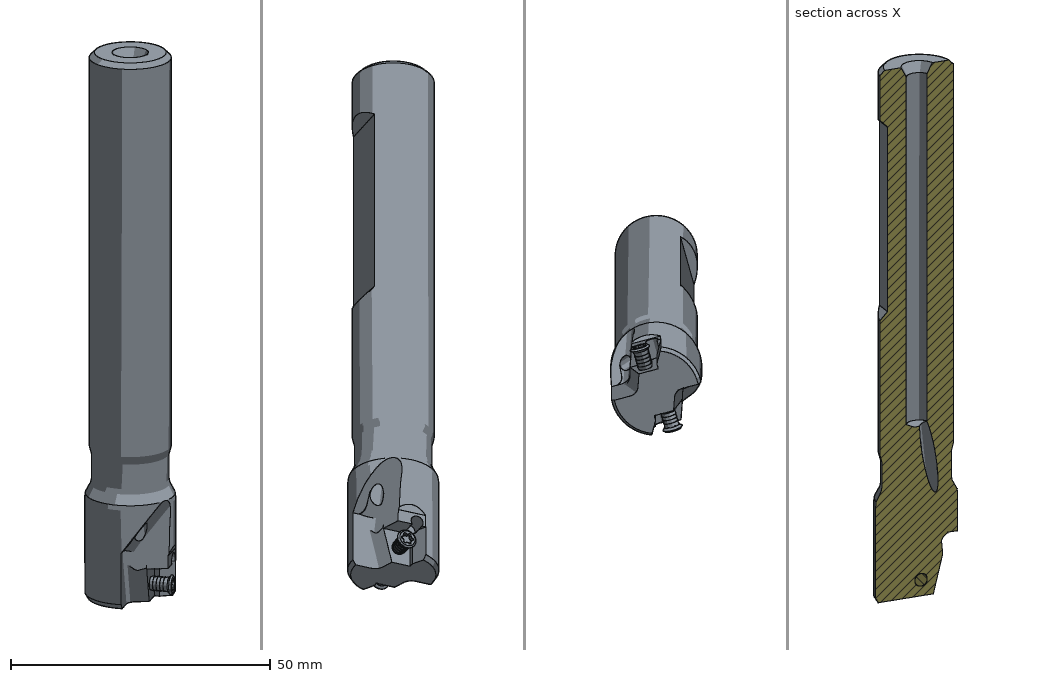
import cadquery as cq
import math

total_length = 109.92
shank_radius = 15.875 / 2
neck_radius = 7.5
head_radius = 17.65 / 2
shank_end_chamfer = 1.0
shank_bottom = 30.0
neck_top = 28.9
neck_bottom = 23.9
head_cone_top_radius = 7.7
head_cone_top = 22.9
head_cone_bottom = 21.0
head_top = 20.0
head_cone_bottom_radius = 8.7
shank_edge_chamfer = 0.55
shank_edge_radius = 7.8
head_tip_bevel_height = 1.0
head_tip_bevel_width = 0.6

flat_bottom = 58.2
flat_top = 99.8
flat_offset = 6.2
flat_end_run = shank_radius - flat_offset

bore_radius = 2.5
bore_mouth_radius = 3.5
bore_mouth_depth = 2.1
bore_bottom = 36.0
bore_tip_depth = 1.6
coolant_radius = 1.3
coolant_start = cq.Vector(0, -1.3, 36.5)
coolant_exit = cq.Vector(3.7, -5.2, 14.0)
coolant_overrun = 4.0

floor_datum_z = 7.2
rake_floor = (5.6, 0.35, 0.25)
upper_floor = (5.18, 0.245, -0.098)
outer_floor = (5.6, 0.35, -0.04)
flute_wall_x = 0.6
flute_corner_z = 11.4
flute_angle = 54.0
rake_fillet = 2.0
upper_fillet = 3.2
outer_floor_x = 4.35
outer_floor_z = 7.9
outer_floor_angle = 61.0
upper_flute_bottom = 5.0
cut_reach = 14.0
cut_below = -1.0

seat_x = 4.4
seat_top = 7.1
seat_wall_y = 1.6
seat_wall_bend_x = 5.4
seat_wall_outer_y = 3.2
seat_wall_outer_x = 8.2
relief_radius = 1.25
relief_y = 1.35
relief_z = 7.8
land_x = 8.25
land_top = 9.6
land_runout_z = 11.0

screw_y = -0.94
screw_z = 3.35
screw_inner_x = 1.2
screw_core_radius = 1.25
thread_root_radius = 1.3
thread_radius = 1.45
thread_pitch = 0.7
thread_count = 5
screw_head_radius = 1.95
screw_head_edge = 0.35
screw_crown_radius = 1.6
screw_cone_length = 0.45
socket_radius = 0.95
socket_lobe_radius = 0.28
socket_lobes = 6
socket_depth = 0.9


def half_turn(shape):
    """Counterpart of a feature on the opposite side of the tool axis."""
    return shape.rotate((0, 0, 0), (0, 0, 1), 180)


def turned_holder():
    profile = (
        cq.Workplane("XZ")
        .moveTo(0, 0)
        .lineTo(head_radius - head_tip_bevel_width, 0)
        .lineTo(head_radius, head_tip_bevel_height)
        .lineTo(head_radius, head_top)
        .lineTo(head_cone_bottom_radius, head_cone_bottom)
        .lineTo(head_cone_top_radius, head_cone_top)
        .lineTo(neck_radius, neck_bottom)
        .lineTo(neck_radius, neck_top)
        .lineTo(shank_edge_radius, shank_bottom)
        .lineTo(shank_radius, shank_bottom + shank_edge_chamfer)
        .lineTo(shank_radius, total_length - shank_end_chamfer)
        .lineTo(shank_radius - shank_end_chamfer, total_length)
        .lineTo(0, total_length)
        .close()
    )
    return profile.revolve(360, (0, 0, 0), (0, 1, 0))


def shank_flat():
    return (
        cq.Workplane("YZ")
        .moveTo(flat_offset, flat_bottom + flat_end_run)
        .lineTo(flat_offset, flat_top - flat_end_run)
        .lineTo(shank_radius, flat_top)
        .lineTo(shank_radius, flat_bottom)
        .close()
        .extrude(shank_radius, both=True)
    )


def coolant_bore():
    return (
        cq.Workplane("XZ")
        .moveTo(0, bore_bottom - bore_tip_depth)
        .lineTo(bore_radius, bore_bottom)
        .lineTo(bore_radius, total_length - bore_mouth_depth)
        .lineTo(bore_mouth_radius, total_length)
        .lineTo(0, total_length)
        .close()
        .revolve(360, (0, 0, 0), (0, 1, 0))
    )


def coolant_branch():
    run = coolant_exit - coolant_start
    length = run.Length + coolant_overrun
    return cq.Workplane(obj=cq.Solid.makeCylinder(coolant_radius, length, coolant_start, run))


def flute_cut(wall_x, corner_z, angle, bottom_z, floor):
    """Space outside a sloping floor, right of an upright wall and below a wall rising at angle."""
    depth, fall, rise = floor
    top_z = corner_z + math.tan(math.radians(angle)) * (cut_reach - wall_x)
    outline = (
        cq.Workplane("XZ")
        .moveTo(wall_x, bottom_z)
        .lineTo(wall_x, corner_z)
        .lineTo(cut_reach, top_z)
        .lineTo(cut_reach, bottom_z)
        .close()
        .extrude(cut_reach)
    )
    floor_plane = cq.Plane(
        origin=(0, -depth, floor_datum_z),
        xDir=(1, fall, 0),
        normal=(fall, -1, -rise),
    )
    core_size = 8 * cut_reach
    core = cq.Workplane(floor_plane).rect(core_size, core_size).extrude(-core_size)
    return outline.cut(core)


def wall_foot(x, z, floor):
    """Point where a flute wall at X, Z meets its floor."""
    depth, fall, rise = floor
    return (x, fall * x - depth - rise * (z - floor_datum_z), z)


def rake_flute():
    cut = flute_cut(flute_wall_x, flute_corner_z, flute_angle, cut_below, rake_floor)
    foot = wall_foot(flute_wall_x, (cut_below + flute_corner_z) / 2, rake_floor)
    return cut.edges(cq.NearestToPointSelector(foot)).fillet(rake_fillet)


def upper_flute():
    cut = flute_cut(flute_wall_x, flute_corner_z, flute_angle, upper_flute_bottom, upper_floor)
    middle_run = (cut_reach - flute_wall_x) / 2
    slope_z = flute_corner_z + math.tan(math.radians(flute_angle)) * middle_run
    upright_foot = wall_foot(flute_wall_x, (upper_flute_bottom + flute_corner_z) / 2, upper_floor)
    slope_foot = wall_foot(flute_wall_x + middle_run, slope_z, upper_floor)
    corner_edges = cut.edges(cq.NearestToPointSelector(upright_foot)).add(
        cut.edges(cq.NearestToPointSelector(slope_foot))
    )
    return corner_edges.fillet(upper_fillet)


def outer_flute():
    return flute_cut(outer_floor_x, outer_floor_z, outer_floor_angle, upper_flute_bottom, outer_floor)


def insert_seat():
    wall_slope = (seat_wall_outer_y - seat_wall_y) / (seat_wall_outer_x - seat_wall_bend_x)
    reach_y = seat_wall_y + wall_slope * (cut_reach - seat_wall_bend_x)
    seat = (
        cq.Workplane("XY", origin=(0, 0, cut_below))
        .moveTo(seat_x, -cut_reach)
        .lineTo(seat_x, seat_wall_y)
        .lineTo(seat_wall_bend_x, seat_wall_y)
        .lineTo(cut_reach, reach_y)
        .lineTo(cut_reach, -cut_reach)
        .close()
        .extrude(seat_top - cut_below)
    )
    relief = (
        cq.Workplane("YZ", origin=(seat_x, 0, 0))
        .center(relief_y, relief_z)
        .circle(relief_radius)
        .extrude(cut_reach - seat_x)
    )
    return seat.union(relief)


def seat_land():
    """Shallow flat above the seat that runs out upward to the head surface."""
    return (
        cq.Workplane("XZ", origin=(0, seat_wall_outer_y, 0))
        .moveTo(land_x, seat_top)
        .lineTo(land_x, land_top)
        .lineTo(head_radius, land_runout_z)
        .lineTo(head_radius, seat_top)
        .close()
        .extrude(2 * seat_wall_outer_y)
    )


def screw_hole():
    return (
        cq.Workplane("YZ", origin=(screw_inner_x, screw_y, screw_z))
        .circle(screw_core_radius)
        .extrude(seat_x - screw_inner_x)
    )


def make_holder():
    holder = turned_holder().cut(shank_flat()).cut(coolant_bore())
    side_cuts = [
        rake_flute(),
        upper_flute(),
        outer_flute(),
        insert_seat(),
        seat_land(),
        coolant_branch(),
        screw_hole(),
    ]
    for cut in side_cuts:
        holder = holder.cut(cut).cut(half_turn(cut))
    return holder


def make_screw():
    """Clamp screw along +X: plain end in the holder, exposed thread, six-lobe head."""
    head_edge_x = head_radius - screw_head_edge
    cone_x = head_edge_x - screw_cone_length
    profile = cq.Workplane("XY").moveTo(screw_inner_x, 0).lineTo(screw_inner_x, screw_core_radius)
    profile = profile.lineTo(seat_x, screw_core_radius)
    for i in range(thread_count):
        root_x = seat_x + i * thread_pitch
        profile = profile.lineTo(root_x, thread_root_radius)
        profile = profile.lineTo(root_x + thread_pitch, thread_radius)
    body = (
        profile.lineTo(cone_x, thread_radius)
        .lineTo(head_edge_x, screw_head_radius)
        .lineTo(head_radius, screw_crown_radius)
        .lineTo(head_radius, 0)
        .close()
        .revolve(360, (0, 0, 0), (1, 0, 0))
    )
    socket_plane = cq.Workplane("YZ", origin=(head_radius, 0, 0))
    socket = socket_plane.circle(socket_radius).extrude(-socket_depth)
    lobes = (
        socket_plane.polarArray(socket_radius, 0, 360, socket_lobes)
        .circle(socket_lobe_radius)
        .extrude(-socket_depth)
    )
    return body.cut(socket).cut(lobes).translate((0, screw_y, screw_z))


holder = make_holder()
screw_angles = (0, 180)
screws = []
for angle in screw_angles:
    screws.append(make_screw().rotate((0, 0, 0), (0, 0, 1), angle))

result = cq.Compound.makeCompound([holder.val(), *[screw.val() for screw in screws]])